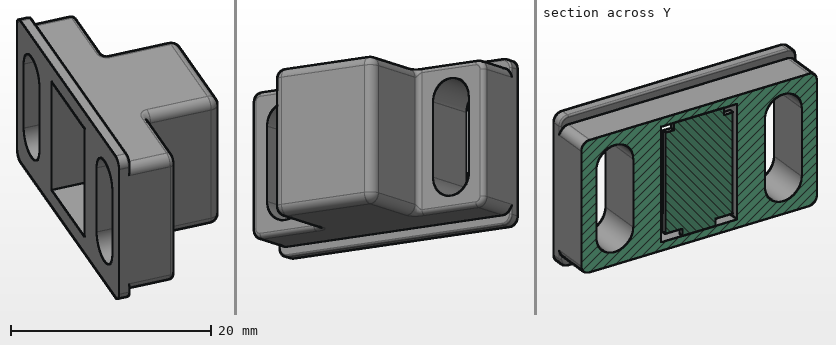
import cadquery as cq


flange_width = 28.0
flange_height = 17.0
flange_thickness = 1.2
flange_back_round = 0.2

case_width = flange_width
case_height = 15.0
case_depth = 6.0
boss_width = 12.0
boss_end = 14.0

large_round = 1.0
small_round = large_round / 2

slot_length = 12.0
slot_width = 4.3
slot_spacing = 20.0

wall = large_round
pocket_width = 9.0
pocket_height = case_height - 2 * wall
pocket_depth = boss_end - wall

plate_front = 4.6
plate_thickness = 1.0
plate_width = 8.0
tab_height = 0.75
top_tab_width = 6.0
bottom_tab_width = 4.0

TOLERANCE = 0.03


def block(width, height, depth):
    """Block centred on the Y axis, from the flange face back to the given depth."""
    return cq.Workplane("XZ").rect(width, height).extrude(-depth)


def edges_around(body, center, size):
    """Edges of a body whose centres lie in a box of the given centre and size."""
    low = [c - s / 2 for c, s in zip(center, size)]
    high = [c + s / 2 for c, s in zip(center, size)]
    return body.edges(cq.selectors.BoxSelector(low, high))


def make_sharp_shell():
    """Case and boss with rounded case corners and root rounds, before their back edges are rounded."""
    case = block(case_width, case_height, case_depth).edges("|Y").fillet(large_round)
    shell = case.union(block(boss_width, case_height, boss_end))
    root_zone = (boss_width + TOLERANCE, TOLERANCE, case_height)
    roots = edges_around(shell.edges("|Z"), (0, case_depth, 0), root_zone)
    return roots.fillet(small_round)


def round_back_edges(shell):
    """Round the boss edges large and the case back edges small, blending between them at the roots.

    The blend needs a radius that varies along one chain of edges, so the fillet builder is used directly.
    """
    builder = cq.occ_impl.shapes.BRepFilletAPI_MakeFillet(shell.solids().val().wrapped)

    end_zone = (boss_width + TOLERANCE, TOLERANCE, case_height + TOLERANCE)
    for edge in edges_around(shell, (0, boss_end, 0), end_zone).vals():
        builder.Add(large_round, edge.wrapped)

    for case_side in (-case_width / 2, case_width / 2):
        side_zone = (TOLERANCE, TOLERANCE, case_height)
        side_edge = edges_around(shell.edges("|Z"), (case_side, case_depth, 0), side_zone).val()
        builder.Add(small_round, side_edge.wrapped)
        chain = builder.NbContours()
        last = builder.NbEdges(chain)
        first_root, last_root = 2, last - 1
        for position in range(1, last + 1):
            if position == first_root:
                builder.SetRadius(large_round, small_round, chain, position)
            elif position == last_root:
                builder.SetRadius(small_round, large_round, chain, position)
            elif position in (1, last):
                builder.SetRadius(large_round, chain, position)
            else:
                builder.SetRadius(small_round, chain, position)

    return cq.Workplane(cq.Shape.cast(builder.Shape()).Solids()[0])


def make_flange():
    flange = block(flange_width, flange_height, flange_thickness).edges("|Y").fillet(large_round)
    return flange.faces(">Y").edges().fillet(flange_back_round)


def make_slots():
    """Two upright slots through the case, one on each side of the boss."""
    slots = cq.Workplane("XZ").pushPoints([(-slot_spacing / 2, 0), (slot_spacing / 2, 0)])
    return slots.slot2D(slot_length, slot_width, 90).extrude(-case_depth)


def make_housing():
    housing = round_back_edges(make_sharp_shell()).union(make_flange())
    housing = housing.cut(make_slots())
    return housing.cut(block(pocket_width, pocket_height, pocket_depth))


def make_plate():
    """Plate with side clearance in the pocket and a tab reaching the pocket's top and bottom walls."""
    panel_height = pocket_height - 2 * tab_height
    tab_center = (panel_height + tab_height) / 2
    profile = (
        cq.Sketch()
        .rect(plate_width, panel_height)
        .push([(0, tab_center)])
        .rect(top_tab_width, tab_height)
        .reset()
        .push([(0, -tab_center)])
        .rect(bottom_tab_width, tab_height)
        .clean()
    )
    plane = cq.Workplane("XZ", origin=(0, plate_front, 0))
    return plane.placeSketch(profile).extrude(-plate_thickness)


housing = make_housing()
plate = make_plate()

result = cq.Compound.makeCompound([housing.solids().val(), plate.solids().val()])